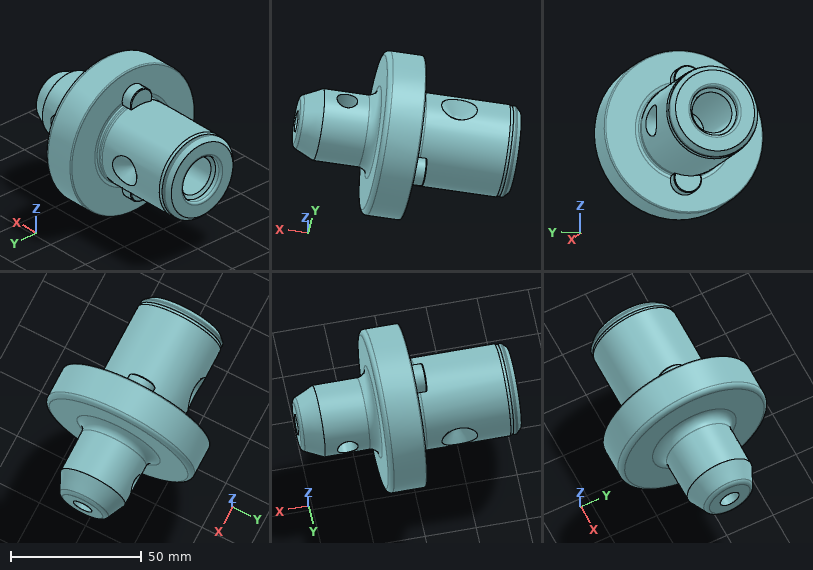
import cadquery as cq
import math

TOTAL_LENGTH = 85.0
SHANK_LENGTH = 39.95
FLANGE_WIDTH = 15.05
NOSE_TAPER_START = 76.5

SHANK_RADIUS = 18.0
FLANGE_DIAMETER = 64.0
FLANGE_RADIUS = FLANGE_DIAMETER / 2
NOSE_RADIUS = 14.0

LEAD_CHAMFER = 1.8
LEAD_FACE_RADIUS = 15.9
LEAD_EDGE_ROUND_LENGTH = 0.3
LEAD_LAND_END = 2.5
GROOVE_START = 3.2
GROOVE_END = 3.4
GROOVE_RADIUS = 17.6
LEAD_IN_END = 4.6

NECK_RADIUS = 17.7
NECK_RUNOUT_START = 37.5
NECK_START = 38.8
NECK_FILLET = 0.6
FACE_RECESS_DEPTH = 0.2
FACE_RECESS_RADIUS = 19.6

FLANGE_FRONT_FILLET = 0.5
FLANGE_BACK_FILLET = 1.95
NOSE_ROOT_FILLET = 4.0
NOSE_TAPER_ANGLE = 25.0
NOSE_TIP_FILLET = 2.0

BORE_RADIUS = 8.0
BORE_DEPTH = 39.95
DRILL_HALF_ANGLE = 59.0
THROUGH_RADIUS = 4.0
MOUTH_RADIUS = 9.5
MOUTH_DEPTH = 3.0
MOUTH_FILLET = 1.0

SEAT_X = 24.6
SEAT_RADIUS = 7.0
SEAT_HALF_ANGLE = 45.0

CROSS_HOLE_X = 67.7
CROSS_HOLE_RADIUS = THROUGH_RADIUS

KEY_RADIUS = 5.5
KEY_CENTER_OFFSET = 19.5
KEY_LENGTH = 5.0
KEY_INNER_RADIUS = 18.45
KEY_EDGE_CHAMFER = 0.3

flange_back = SHANK_LENGTH + FLANGE_WIDTH


def revolve_about_x(profile):
    """Full turn of a half-section whose open side lies on the X axis."""
    return profile.close().revolve(360, (0, 0, 0), (1, 0, 0))


def outer_body():
    """Shank, flange and nose as one turned shape."""
    chamfer_end_radius = LEAD_FACE_RADIUS + LEAD_CHAMFER
    lead_land_start = LEAD_CHAMFER + LEAD_EDGE_ROUND_LENGTH
    half_chamfer_angle = math.radians(45) / 2
    lead_land_radius = chamfer_end_radius + LEAD_EDGE_ROUND_LENGTH * math.tan(half_chamfer_angle)
    recess_floor = SHANK_LENGTH + FACE_RECESS_DEPTH
    taper_length = TOTAL_LENGTH - NOSE_TAPER_START
    tip_radius = NOSE_RADIUS - taper_length * math.tan(math.radians(NOSE_TAPER_ANGLE))

    profile = (
        cq.Workplane("XZ")
        .lineTo(0, LEAD_FACE_RADIUS)
        .lineTo(LEAD_CHAMFER, chamfer_end_radius)
        .tangentArcPoint((lead_land_start, lead_land_radius), relative=False)
        .lineTo(LEAD_LAND_END, lead_land_radius)
        .lineTo(GROOVE_START, GROOVE_RADIUS)
        .lineTo(GROOVE_END, GROOVE_RADIUS)
        .lineTo(LEAD_IN_END, SHANK_RADIUS)
        .lineTo(NECK_RUNOUT_START, SHANK_RADIUS)
        .lineTo(NECK_START, NECK_RADIUS)
        .lineTo(recess_floor - NECK_FILLET, NECK_RADIUS)
        .radiusArc((recess_floor, NECK_RADIUS + NECK_FILLET), -NECK_FILLET)
        .lineTo(SHANK_LENGTH, FACE_RECESS_RADIUS)
        .lineTo(SHANK_LENGTH, FLANGE_RADIUS - FLANGE_FRONT_FILLET)
        .radiusArc((SHANK_LENGTH + FLANGE_FRONT_FILLET, FLANGE_RADIUS), FLANGE_FRONT_FILLET)
        .lineTo(flange_back - FLANGE_BACK_FILLET, FLANGE_RADIUS)
        .radiusArc((flange_back, FLANGE_RADIUS - FLANGE_BACK_FILLET), FLANGE_BACK_FILLET)
        .lineTo(flange_back, NOSE_RADIUS + NOSE_ROOT_FILLET)
        .radiusArc((flange_back + NOSE_ROOT_FILLET, NOSE_RADIUS), -NOSE_ROOT_FILLET)
        .lineTo(NOSE_TAPER_START, NOSE_RADIUS)
        .lineTo(TOTAL_LENGTH, tip_radius)
        .lineTo(TOTAL_LENGTH, 0)
    )
    return revolve_about_x(profile).faces(">X").edges().fillet(NOSE_TIP_FILLET)


def central_bore():
    """Rounded mouth, main bore with a drill-point end, and a through hole."""
    drill_slope = 1 / math.tan(math.radians(DRILL_HALF_ANGLE))
    mouth_cone_end = MOUTH_DEPTH + (MOUTH_RADIUS - BORE_RADIUS) * drill_slope
    drill_point_end = BORE_DEPTH + (BORE_RADIUS - THROUGH_RADIUS) * drill_slope

    profile = (
        cq.Workplane("XZ")
        .lineTo(0, MOUTH_RADIUS + MOUTH_FILLET)
        .radiusArc((MOUTH_FILLET, MOUTH_RADIUS), -MOUTH_FILLET)
        .lineTo(MOUTH_DEPTH, MOUTH_RADIUS)
        .lineTo(mouth_cone_end, BORE_RADIUS)
        .lineTo(BORE_DEPTH, BORE_RADIUS)
        .lineTo(drill_point_end, THROUGH_RADIUS)
        .lineTo(TOTAL_LENGTH, THROUGH_RADIUS)
        .lineTo(TOTAL_LENGTH, 0)
    )
    return revolve_about_x(profile)


def conical_seat():
    """Cone with its axis along Y, widest at the shank surface and pointed towards the axis."""
    seat_depth = SEAT_RADIUS / math.tan(math.radians(SEAT_HALF_ANGLE))
    return cq.Workplane(
        cq.Solid.makeCone(
            SEAT_RADIUS,
            0,
            seat_depth,
            pnt=cq.Vector(SEAT_X, SHANK_RADIUS, 0),
            dir=cq.Vector(0, -1, 0),
        )
    )


def cross_hole():
    """Round hole along Y from the axis out through the +Y side of the nose."""
    return (
        cq.Workplane("XZ", origin=(CROSS_HOLE_X, 0, 0))
        .circle(CROSS_HOLE_RADIUS)
        .extrude(-FLANGE_RADIUS)
    )


def make_holder():
    """Turned body with its bore, conical seat and cross hole cut away."""
    return outer_body().cut(central_bore()).cut(conical_seat()).cut(cross_hole())


def make_drive_key(angle):
    """Round key resting on the flange face, hollowed to clear the shank."""
    clearance = cq.Workplane("YZ").circle(KEY_INNER_RADIUS).extrude(SHANK_LENGTH)
    return (
        cq.Workplane("YZ", origin=(SHANK_LENGTH - KEY_LENGTH, 0, 0))
        .center(0, KEY_CENTER_OFFSET)
        .circle(KEY_RADIUS)
        .extrude(KEY_LENGTH)
        .faces("<X")
        .chamfer(KEY_EDGE_CHAMFER)
        .cut(clearance)
        .rotate((0, 0, 0), (1, 0, 0), angle)
    )


holder = make_holder()
drive_keys = [make_drive_key(angle) for angle in (0, 180)]

result = cq.Compound.makeCompound([holder.val(), *(key.val() for key in drive_keys)])